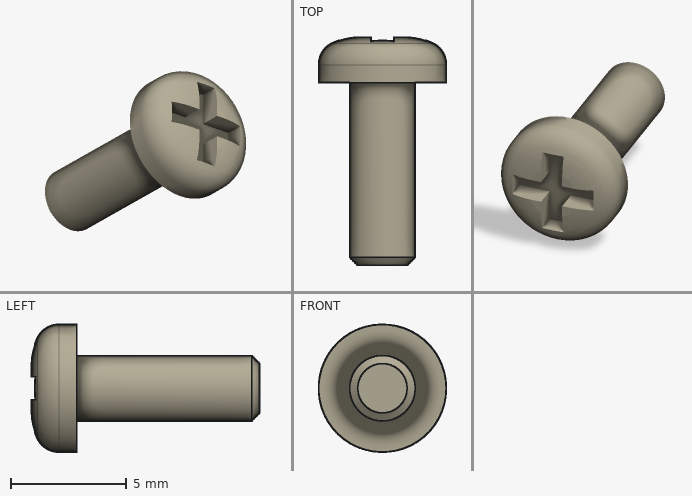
import cadquery as cq
import math

total_length = 9.93
head_diameter = 5.56
head_height = 1.99
rim_height = 0.78
shoulder_radius = 1.04
crown_edge_radius = 2.18
crown_flat_radius = 1.14
shank_diameter = 2.85
tip_radius = 1.07
tip_length = 0.35
slot_width = 0.99
recess_span = 3.81
recess_depth = 0.99

head_radius = head_diameter / 2
shank_radius = shank_diameter / 2
top_y = total_length / 2
tip_y = -top_y
seat_y = top_y - head_height
rim_y = seat_y + rim_height


def shoulder_point(angle):
    """Point on the shoulder arc, with the angle measured from the radial direction."""
    center_radius = head_radius - shoulder_radius
    return (
        center_radius + shoulder_radius * math.cos(angle),
        rim_y + shoulder_radius * math.sin(angle),
    )


def make_body():
    """Revolve the half profile of the shank and head around the Y axis."""
    center_radius = head_radius - shoulder_radius
    shoulder_angle = math.acos((crown_edge_radius - center_radius) / shoulder_radius)
    return (
        cq.Workplane("XY")
        .moveTo(0, tip_y)
        .lineTo(tip_radius, tip_y)
        .lineTo(shank_radius, tip_y + tip_length)
        .lineTo(shank_radius, seat_y)
        .lineTo(head_radius, seat_y)
        .lineTo(head_radius, rim_y)
        .threePointArc(shoulder_point(shoulder_angle / 2), shoulder_point(shoulder_angle))
        .tangentArcPoint((crown_flat_radius, top_y), relative=False)
        .lineTo(0, top_y)
        .close()
        .revolve(360, (0, 0, 0), (0, 1, 0))
    )


def make_cross_recess():
    """Two equal crossed slots, along X and Z, that end within the crown."""
    recess_y = top_y - recess_depth / 2
    along_x = cq.Workplane("XY").box(recess_span, recess_depth, slot_width)
    along_z = cq.Workplane("XY").box(slot_width, recess_depth, recess_span)
    return along_x.union(along_z).translate((0, recess_y, 0))


result = make_body().cut(make_cross_recess())